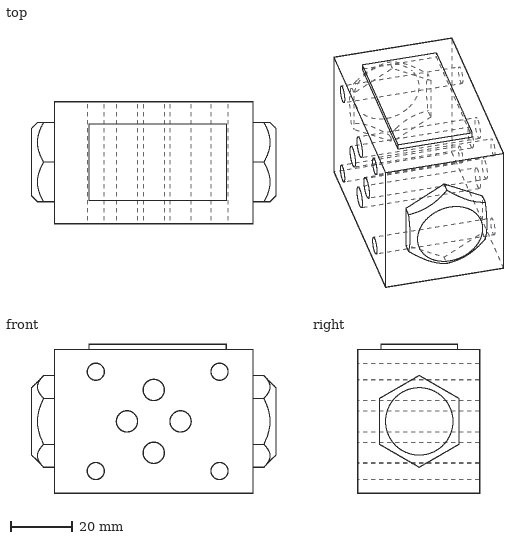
import cadquery as cq
import math

overall_length = 80.0
block_length = 65.0
block_depth = 40.0
block_height = 47.0

mounting_offset_x = 1.3
rear_offset_y = 0.2

plate_length = 45.0
plate_depth = 25.1
plate_thickness = 1.8

hex_across_flats = 26.0
hex_face_diameter = 22.1
hex_across_corners = hex_across_flats / math.cos(math.radians(30))
hex_length = (overall_length - block_length) / 2
hex_chamfer = (hex_across_corners - hex_face_diameter) / 2

bolt_diameter = 5.5
bolt_spacing_x = 40.5
bolt_spacing_z = 32.5
port_diameter = 6.9
port_spacing_x = 17.5
port_spacing_z = 20.6


def make_block():
    """Rectangular block centred on the origin."""
    return cq.Workplane("XY").box(block_length, block_depth, block_height)


def make_plate():
    """Thin plate standing on the top face."""
    return (
        cq.Workplane("XY", origin=(mounting_offset_x, rear_offset_y, block_height / 2))
        .rect(plate_length, plate_depth)
        .extrude(plate_thickness)
    )


def make_right_plug():
    """Hexagonal plug on the +X end, corners up, with a conical chamfer on its outer end."""
    end_plane = cq.Workplane("YZ", origin=(block_length / 2, rear_offset_y, 0))
    prism = (
        end_plane.transformed(rotate=(0, 0, 90))
        .polygon(6, hex_across_corners)
        .extrude(hex_length)
    )
    envelope = (
        end_plane.circle(hex_across_corners / 2)
        .extrude(hex_length)
        .faces(">X")
        .chamfer(hex_chamfer)
    )
    return prism.intersect(envelope)


def drill_through(body, positions, diameter):
    """Drill holes along Y through the block at the given (x, z) positions."""
    drills = (
        cq.Workplane("XZ")
        .pushPoints(positions)
        .circle(diameter / 2)
        .extrude(block_depth / 2, both=True)
    )
    return body.cut(drills)


right_plug = make_right_plug()
left_plug = right_plug.mirror("YZ")

bolt_positions = [
    (mounting_offset_x + side_x * bolt_spacing_x / 2, side_z * bolt_spacing_z / 2)
    for side_x in (-1, 1)
    for side_z in (-1, 1)
]
port_positions = [(side * port_spacing_x / 2, 0) for side in (-1, 1)]
port_positions += [(0, side * port_spacing_z / 2) for side in (-1, 1)]

result = make_block().union(make_plate()).union(right_plug).union(left_plug)
result = drill_through(result, bolt_positions, bolt_diameter)
result = drill_through(result, port_positions, port_diameter)